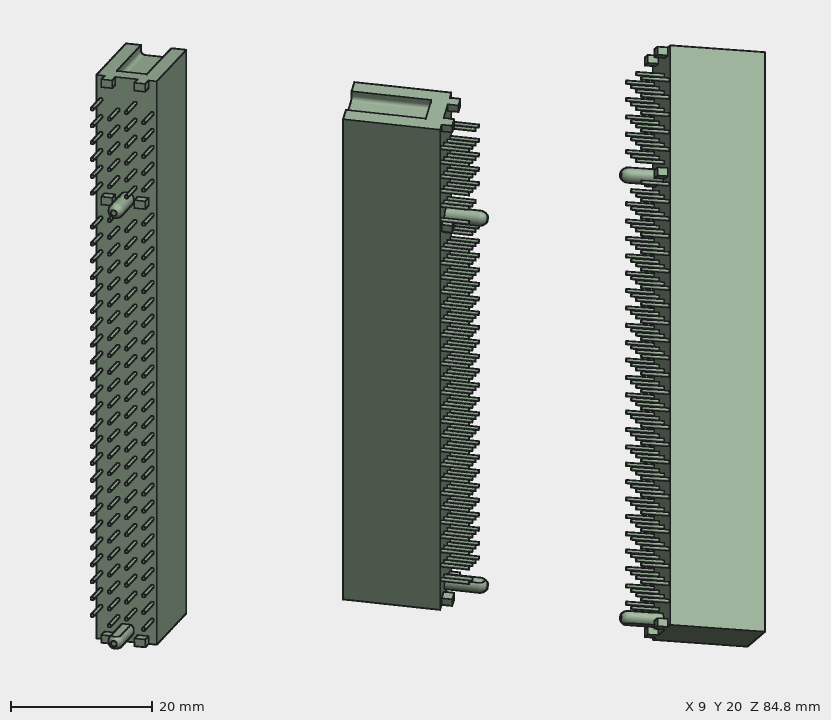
import cadquery as cq

height = 84.8
width = 9.0
overall_depth = 20.0
housing_depth = 14.0

recess_width = 4.5
recess_length = 11.5
recess_depth = 1.4
recess_corner_radius = 0.6

pin_diameter = 0.5
pin_length = 4.1
row_count = 62
row_end_offset = 3.65
row_span = height - 2 * row_end_offset
row_pitch = row_span / (row_count - 1)
keyway_rows = (11, 12)
column_pitch = 2.55
inner_column = column_pitch / 2
outer_column = 3 * inner_column
even_row_columns = (-outer_column, inner_column)
odd_row_columns = (-inner_column, outer_column)


def row_height(row):
    """Height of a pin row, counted from 0 at the top."""
    return height - row_end_offset - row * row_pitch


post_radius = 1.1
post_length = overall_depth - housing_depth
tip_length = 1.0
tip_mid_radius = 0.9
tip_end_radius = 0.4
post_flats = 1.8
upper_post_z = row_height(sum(keyway_rows) / len(keyway_rows))
lower_post_z = row_height(row_count + 0.5)

pad_width = 1.6
pad_height = 1.2
pad_length = 1.5
pad_center_x = 2.5
pad_levels = (pad_height / 2, upper_post_z, height - pad_height / 2)

root = 0.4


def make_block(size_x, y_min, y_max, size_z, x=0.0, z=0.0):
    """Box centred on x and z that spans y_min to y_max."""
    block = cq.Workplane("XY").box(size_x, y_max - y_min, size_z)
    return block.translate((x, (y_min + y_max) / 2, z))


def make_rod(radius, y_start, y_end, x=0.0, z=0.0):
    """Round rod running towards -Y from y_start to y_end."""
    axis_plane = cq.Workplane("XZ", origin=(x, y_start, z))
    return axis_plane.circle(radius).extrude(y_start - y_end)


def make_housing():
    housing = make_block(width, 0, housing_depth, height, z=height / 2)
    recess = make_block(
        recess_width,
        housing_depth - recess_length,
        housing_depth,
        recess_depth,
        z=height - recess_depth / 2,
    )
    recess = recess.edges("|Y and <Z").fillet(recess_corner_radius)
    return housing.cut(recess)


def make_post(z):
    """Post with a domed tip that ends in a small flat."""
    shoulder_y = tip_length - post_length
    profile = (
        cq.Workplane("XY")
        .moveTo(0, root)
        .lineTo(post_radius, root)
        .lineTo(post_radius, shoulder_y)
        .threePointArc(
            (tip_mid_radius, shoulder_y - tip_length / 2),
            (tip_end_radius, -post_length),
        )
        .lineTo(0, -post_length)
        .close()
    )
    return profile.revolve(360, (0, 0, 0), (0, 1, 0)).translate((0, 0, z))


def make_flatted_post(z):
    """Post trimmed to flats on its top and bottom sides."""
    trim = make_block(2 * post_radius, -post_length, root, post_flats, z=z)
    return make_post(z).intersect(trim)


def make_pins():
    pins = []
    for row in range(row_count):
        if row in keyway_rows:
            continue
        z = row_height(row)
        columns = odd_row_columns if row % 2 else even_row_columns
        for x in columns:
            pins.append(make_rod(pin_diameter / 2, root, -pin_length, x, z))
    return pins


def make_pads():
    pads = []
    for z in pad_levels:
        for x in (-pad_center_x, pad_center_x):
            pads.append(make_block(pad_width, -pad_length, root, pad_height, x, z))
    return pads


posts = [make_post(upper_post_z), make_flatted_post(lower_post_z)]
attachments = [body.val() for body in posts + make_pads() + make_pins()]
result = cq.Workplane(make_housing().val().fuse(*attachments).clean())